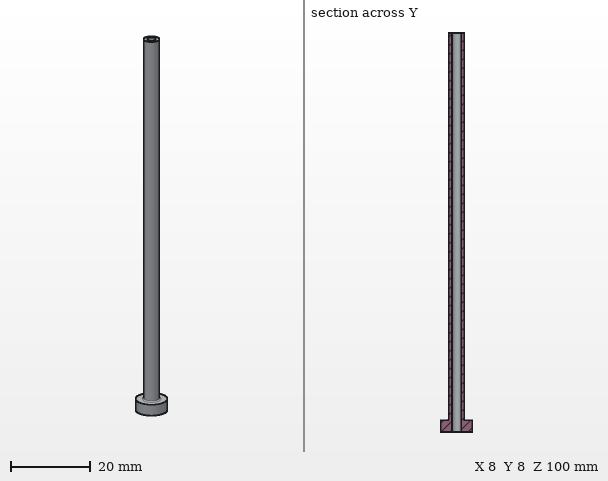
import cadquery as cq

total_length = 100.0
head_diameter = 8.0
head_height = 3.0
shaft_diameter = 4.0
bore_diameter = 2.2
root_fillet_radius = 0.3


def make_outer_body():
    """Solid head and shaft, blended by a fillet where the shaft meets the head."""
    head = cq.Workplane("XY").circle(head_diameter / 2).extrude(head_height)
    shaft_length = total_length - head_height
    body = head.faces(">Z").workplane().circle(shaft_diameter / 2).extrude(shaft_length)
    head_shoulder = body.faces("<Z[1]")
    shaft_root_edge = head_shoulder.edges(cq.selectors.RadiusNthSelector(0))
    return shaft_root_edge.fillet(root_fillet_radius)


def make_bore():
    """Straight bore running the full length of the sleeve."""
    return cq.Workplane("XY").circle(bore_diameter / 2).extrude(total_length)


result = make_outer_body().cut(make_bore())